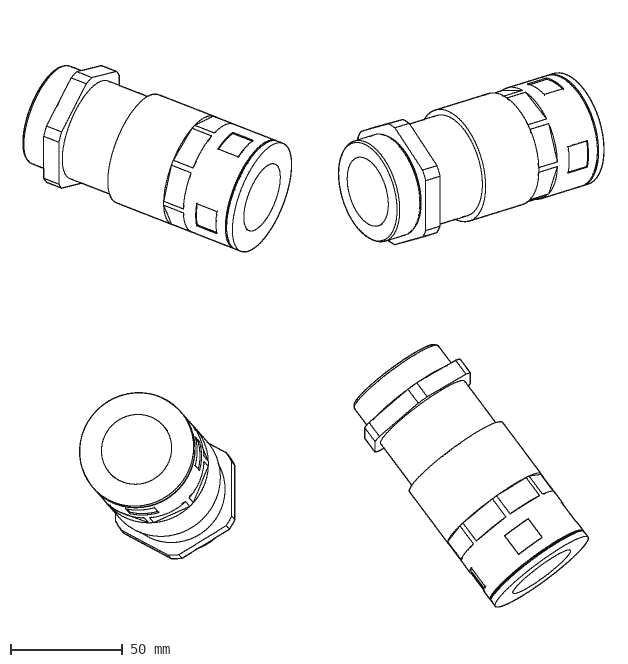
import cadquery as cq
import math

length = 111.0
thread_end = 12.2
nut_start = 13.1
nut_end = 21.0
body_start = 46.2
flats_start = 75.3
flats_end = 85.5
window_start = 91.9
window_end = 102.5
groove_start = 107.3
groove_end = 108.0

bore_diameter = 32.0
thread_diameter = 47.0
undercut_diameter = 45.8
body_diameter = 52.1
sleeve_diameter = 52.0
groove_diameter = 50.0
nut_across_flats = 53.0
nut_corner_diameter = 58.5
chamfer_length = 1.0
chamfer_height = 0.7
flat_count = 8
across_wrench_flats = 48.8
window_count = 4
window_width = 13.1
window_floor_diameter = 50.6


def cylinder(start, end, diameter):
    """Solid cylinder on the X axis between two stations."""
    return cq.Workplane("YZ", origin=(start, 0, 0)).circle(diameter / 2).extrude(end - start)


def prism(start, end, side_count, across_flats):
    """Regular prism on the X axis with one corner on +Y."""
    corner_diameter = across_flats / math.cos(math.pi / side_count)
    outline = cq.Workplane("YZ", origin=(start, 0, 0)).polygon(side_count, corner_diameter)
    return outline.extrude(end - start)


def turned_blank():
    """Stepped body of revolution with chamfered entry, undercut and end groove."""
    thread_radius = thread_diameter / 2
    undercut_radius = undercut_diameter / 2
    body_radius = body_diameter / 2
    sleeve_radius = sleeve_diameter / 2
    groove_radius = groove_diameter / 2
    outline = [
        (0, 0),
        (0, thread_radius - chamfer_height),
        (chamfer_length, thread_radius),
        (thread_end, thread_radius),
        (thread_end, undercut_radius),
        (nut_start, undercut_radius),
        (nut_start, thread_radius),
        (body_start, thread_radius),
        (body_start, body_radius),
        (flats_start, body_radius),
        (flats_start, sleeve_radius),
        (groove_start, sleeve_radius),
        (groove_start, groove_radius),
        (groove_end, groove_radius),
        (groove_end, sleeve_radius),
        (length, sleeve_radius),
        (length, 0),
    ]
    return cq.Workplane("XY").polyline(outline).close().revolve(360, (0, 0, 0), (1, 0, 0))


def hex_nut():
    """Hexagonal collar with its corners turned down."""
    hexagon = prism(nut_start, nut_end, 6, nut_across_flats)
    hexagon = hexagon.rotate((0, 0, 0), (1, 0, 0), 90)
    return hexagon.intersect(cylinder(nut_start, nut_end, nut_corner_diameter))


def wrench_flat_cuts():
    """Material outside the octagon of wrench flats."""
    ring = cylinder(flats_start, flats_end, 2 * body_diameter)
    return ring.cut(prism(flats_start, flats_end, flat_count, across_wrench_flats))


def window_cuts():
    """Shallow curved-floor windows on the four sides of the sleeve."""
    window_length = window_end - window_start
    blocks = cq.Workplane("XY")
    for index in range(window_count):
        block = cq.Workplane("XY").box(
            window_length, window_width, body_diameter, centered=(False, True, False)
        )
        block = block.translate((window_start, 0, 0))
        blocks = blocks.add(block.rotate((0, 0, 0), (1, 0, 0), index * 360 / window_count))
    return blocks.combine().cut(cylinder(window_start, window_end, window_floor_diameter))


result = turned_blank().union(hex_nut())
result = result.cut(wrench_flat_cuts())
result = result.cut(window_cuts())
result = result.cut(cylinder(0, length, bore_diameter))